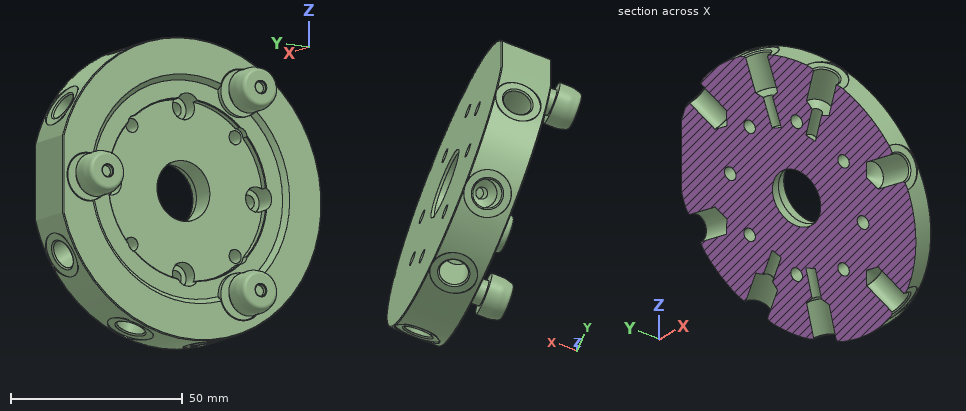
import cadquery as cq
import math

disc_radius = 45.0
disc_thickness = 15.8
disc_edge_chamfer = 0.3
flat_distance = 43.5

bore_diameter = 18.0
bore_back_diameter = 20.0
bore_back_depth = 4.5
bore_back_chamfer = 0.75

recess_depth = 1.5
recess_rim_radius = 34.0
recess_floor_radius = recess_rim_radius - recess_depth
inner_recess_radius = 27.0
inner_recess_depth = 3.8
inner_recess_chamfer = 0.25

bolt_circle_radius = 25.0
screw_hole_diameter = 4.2
counterbore_diameter = 7.5
counterbore_depth = 8.5
dowel_hole_diameter = 4.13
dowel_relief_diameter = 5.3

port_axis_x = 8.6
port_diameter = 8.57
port_spotface_diameter = 14.0
port_mouth_chamfer = 0.45
port_bottom_radius = 33.0
port_point_angle = 118.0
port_passage_diameter = 3.5
port_passage_end_radius = 22.0
plain_port_angles = [30.0, 150.0, 210.0, 330.0]
passage_port_angles = [70.0, 104.0, 256.0, 290.0]

pin_circle_radius = 34.9
pin_angles = [0.0, 120.0, 240.0]
pin_protrusion = 11.0
pin_insertion = 6.0
head_diameter = 12.95
head_length = 7.4
head_taper_length = 3.2
head_taper_angle = 15.0
head_tip_fillet = 1.2
head_shoulder_fillet = 3.0
stem_diameter = 8.0
socket_diameter = 3.5
socket_depth = 1.5
socket_chamfer = 0.25
collar_diameter = 14.0
collar_thickness = recess_depth
collar_seat_chamfer = 0.25


def on_circle(radius, angle):
    a = math.radians(angle)
    return (radius * math.cos(a), radius * math.sin(a))


def cylinder_x(diameter, start_x, length, centres=((0, 0),)):
    """Cylinders along +X, one per (Y, Z) centre."""
    return (
        cq.Workplane("YZ", origin=(start_x, 0, 0))
        .pushPoints(list(centres))
        .circle(diameter / 2)
        .extrude(length)
    )


def revolve_x(points):
    """Closed (X, radius) profile turned about the X axis."""
    return cq.Workplane("XY").polyline(points).close().revolve(360, (0, 0, 0), (1, 0, 0))


def chamfer_cone_x(diameter, chamfer, face_x, direction=1):
    """Cutter that breaks the mouth of a round hole entering the face at face_x."""
    inner = diameter / 2
    end_x = face_x + direction * chamfer
    return revolve_x([
        (face_x, 0),
        (face_x, inner + chamfer),
        (end_x, inner),
        (end_x, 0),
    ])


def make_port(angle, has_passage):
    """Cutter for one radial port, drilled from the rim towards the disc axis."""
    spotface_radius = math.sqrt(disc_radius**2 - (port_spotface_diameter / 2) ** 2)
    port_radius = port_diameter / 2
    mouth_radius = port_radius + port_mouth_chamfer
    point_length = port_radius / math.tan(math.radians(port_point_angle / 2))
    profile = [
        (0, disc_radius + 1),
        (port_spotface_diameter / 2, disc_radius + 1),
        (port_spotface_diameter / 2, spotface_radius),
        (mouth_radius, spotface_radius),
        (port_radius, spotface_radius - port_mouth_chamfer),
        (port_radius, port_bottom_radius),
        (0, port_bottom_radius - point_length),
    ]
    port = cq.Workplane("XY").polyline(profile).close().revolve(360, (0, 0, 0), (0, 1, 0))
    if has_passage:
        passage = (
            cq.Workplane("XZ", origin=(0, port_passage_end_radius, 0))
            .circle(port_passage_diameter / 2)
            .extrude(port_passage_end_radius - port_bottom_radius)
        )
        port = port.union(passage)
    return port.rotate((0, 0, 0), (1, 0, 0), angle).translate((port_axis_x, 0, 0))


pin_centres = [on_circle(pin_circle_radius, a) for a in pin_angles]
screw_centres = [on_circle(bolt_circle_radius, 90 * i) for i in range(4)]
dowel_centres = [on_circle(bolt_circle_radius, 45 + 90 * i) for i in range(4)]


def make_collar_seat(centre):
    seat = cylinder_x(collar_diameter, 0, collar_thickness)
    mouth = chamfer_cone_x(collar_diameter, collar_seat_chamfer, 0)
    return seat.union(mouth).translate((0, *centre))


def make_disc():
    disc = cylinder_x(2 * disc_radius, 0, disc_thickness)
    flat_cut = cq.Workplane("XY").box(
        disc_thickness, disc_radius, 2 * disc_radius, centered=(False, False, True)
    ).translate((0, flat_distance, 0))
    disc = disc.cut(flat_cut)
    disc = disc.faces("<X or >X").edges().chamfer(disc_edge_chamfer)

    disc = disc.cut(cylinder_x(bore_diameter, 0, disc_thickness))
    disc = disc.cut(cylinder_x(bore_back_diameter, disc_thickness - bore_back_depth, bore_back_depth))
    disc = disc.cut(chamfer_cone_x(bore_back_diameter, bore_back_chamfer, disc_thickness, -1))

    disc = disc.cut(revolve_x([
        (0, 0),
        (0, recess_rim_radius),
        (recess_depth, recess_floor_radius),
        (recess_depth, 0),
    ]))
    disc = disc.cut(cylinder_x(2 * inner_recess_radius, 0, inner_recess_depth))
    disc = disc.cut(chamfer_cone_x(2 * inner_recess_radius, inner_recess_chamfer, recess_depth))

    disc = disc.cut(cylinder_x(screw_hole_diameter, 0, disc_thickness, screw_centres))
    disc = disc.cut(cylinder_x(counterbore_diameter, 0, counterbore_depth, screw_centres))
    disc = disc.cut(cylinder_x(dowel_hole_diameter, 0, disc_thickness, dowel_centres))
    disc = disc.cut(cylinder_x(dowel_relief_diameter, 0, inner_recess_depth, dowel_centres))

    for angle in plain_port_angles:
        disc = disc.cut(make_port(angle, False))
    for angle in passage_port_angles:
        disc = disc.cut(make_port(angle, True))

    for centre in pin_centres:
        disc = disc.cut(make_collar_seat(centre))
    return disc.cut(cylinder_x(stem_diameter, 0, pin_insertion, pin_centres))


def make_collar(centre):
    return (
        cylinder_x(collar_diameter, 0, collar_thickness, [centre])
        .cut(cylinder_x(stem_diameter, 0, collar_thickness, [centre]))
    )


def make_pin(centre):
    tip_x = -pin_protrusion
    head_radius = head_diameter / 2
    tip_radius = head_radius - head_taper_length * math.tan(math.radians(head_taper_angle))
    tip = cq.Solid.makeCone(
        tip_radius, head_radius, head_taper_length, pnt=(tip_x, 0, 0), dir=(1, 0, 0)
    )
    barrel = cylinder_x(head_diameter, tip_x + head_taper_length, head_length - head_taper_length)
    head = barrel.union(cq.Workplane(tip))
    head = head.faces("<X").edges().fillet(head_tip_fillet)
    head = head.edges(cq.selectors.NearestToPointSelector(
        (tip_x + head_taper_length, 0, 0)
    )).fillet(head_shoulder_fillet)
    stem_start = tip_x + head_length
    pin = head.union(cylinder_x(stem_diameter, stem_start, pin_insertion - stem_start))
    socket = cylinder_x(socket_diameter, tip_x, socket_depth)
    pin = pin.cut(socket).cut(chamfer_cone_x(socket_diameter, socket_chamfer, tip_x))
    return pin.translate((0, *centre))


disc = make_disc()
collars = [make_collar(centre) for centre in pin_centres]
pins = [make_pin(centre) for centre in pin_centres]

result = cq.Compound.makeCompound([
    disc.val(),
    *[collar.val() for collar in collars],
    *[pin.val() for pin in pins],
])